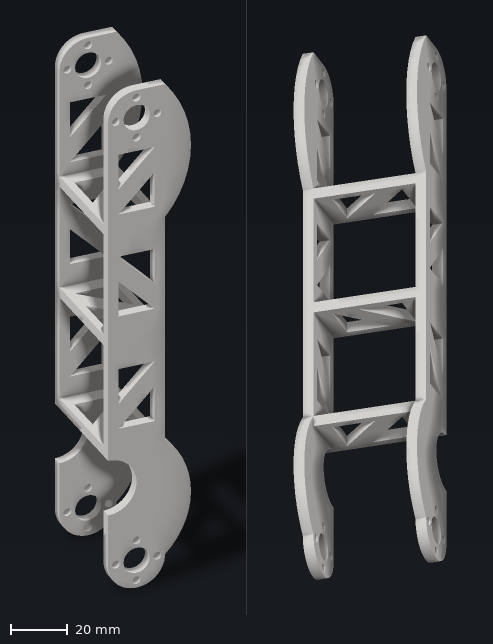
import cadquery as cq
import math

width = 46.0
length = 200.0
beam_depth = 22.0
bulge_depth = 32.0
plate = 4.0
end_radius = beam_depth / 2

rib_pitch = 44.5
rib_centres = [length / 2 + i * rib_pitch for i in (-1, 0, 1)]
middle = 1
lower_rib_bottom = rib_centres[0] - plate / 2
lower_rib_top = rib_centres[0] + plate / 2
upper_rib_top = rib_centres[2] + plate / 2

notch_radius = 11.0
notch_centre_z = lower_rib_bottom - notch_radius

bearing_diameter = 10.0
screw_diameter = 3.0
screw_circle_radius = 8.0
screw_count = 4
bearing_centres_z = (end_radius, length - end_radius)

brace_gap = 10.0
plate_window_leg = 14.0
plate_window_length = plate_window_leg + brace_gap
plate_window_centres = (77.5, 122.5, 163.5)
rib_window_leg = 16.0
rib_window_length = rib_window_leg + brace_gap


def side_plate_outline():
    """Closed side profile in the YZ plane, ready to extrude along X."""
    corner = end_radius * (1 - math.sqrt(0.5))
    upper_crown_z = (upper_rib_top + length) / 2
    lower_crown_z = (lower_rib_top + end_radius) / 2
    return (
        cq.Workplane("YZ")
        .moveTo(0, end_radius)
        .lineTo(0, length - end_radius)
        .threePointArc((corner, length - corner), (end_radius, length))
        .lineTo(beam_depth, length)
        .threePointArc((bulge_depth, upper_crown_z), (beam_depth, upper_rib_top))
        .lineTo(beam_depth, lower_rib_top)
        .threePointArc((bulge_depth, lower_crown_z), (beam_depth, end_radius))
        .threePointArc((end_radius, 0), (0, end_radius))
        .close()
    )


def window_pair(plane, centre, leg, run, mirrored):
    """Two right triangles facing each other across a diagonal brace.

    The first plane axis is the short side (leg), the second the long side (run).
    """
    across, along = centre
    side = -1 if mirrored else 1
    sketch = cq.Workplane(plane)
    for end in (-1, 1):
        corner_across = across - end * side * leg / 2
        corner_along = along + end * run / 2
        sketch = (
            sketch.moveTo(corner_across, corner_along)
            .lineTo(corner_across + end * side * leg, corner_along)
            .lineTo(corner_across, corner_along - end * leg)
            .close()
        )
    return sketch


def plate_cutters():
    """Everything cut through both side plates along X."""
    notch = cq.Workplane("YZ").center(0, notch_centre_z).circle(notch_radius).extrude(width)
    cutters = [notch]
    for z in bearing_centres_z:
        hub = cq.Workplane("YZ").center(end_radius, z)
        cutters.append(hub.circle(bearing_diameter / 2).extrude(width))
        screws = hub.polarArray(screw_circle_radius, 0, 360, screw_count).circle(screw_diameter / 2)
        cutters.append(screws.extrude(width))
    for index, z in enumerate(plate_window_centres):
        window = window_pair(
            "YZ", (end_radius, z), plate_window_leg, plate_window_length, mirrored=index == middle
        )
        cutters.append(window.extrude(width))
    return cutters


def side_plates():
    near = side_plate_outline().extrude(plate)
    pair = near.union(near.translate((width - plate, 0, 0)))
    for cutter in plate_cutters():
        pair = pair.cut(cutter)
    return pair


def cross_rib(centre_z, mirrored):
    """Horizontal web between the plates, lightened by a braced window."""
    rib = cq.Workplane("XY").box(width, beam_depth, plate)
    window = window_pair("YX", (0, 0), rib_window_leg, rib_window_length, mirrored)
    rib = rib.cut(window.extrude(plate, both=True))
    return rib.translate((width / 2, beam_depth / 2, centre_z))


result = side_plates()
for index, rib_z in enumerate(rib_centres):
    result = result.union(cross_rib(rib_z, mirrored=index != middle))